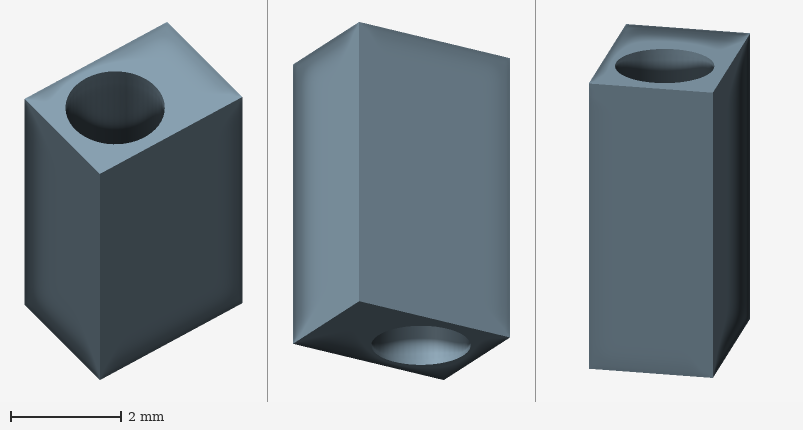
import cadquery as cq

width = 2.3
depth = 3.2
height = 5.5

bore_diameter = 1.8
bore_to_front = 1.19

block = cq.Workplane("XY").box(width, depth, height)

bore_y = bore_to_front - depth / 2
result = block.faces(">Z").workplane(origin=(0, bore_y, 0)).hole(bore_diameter)